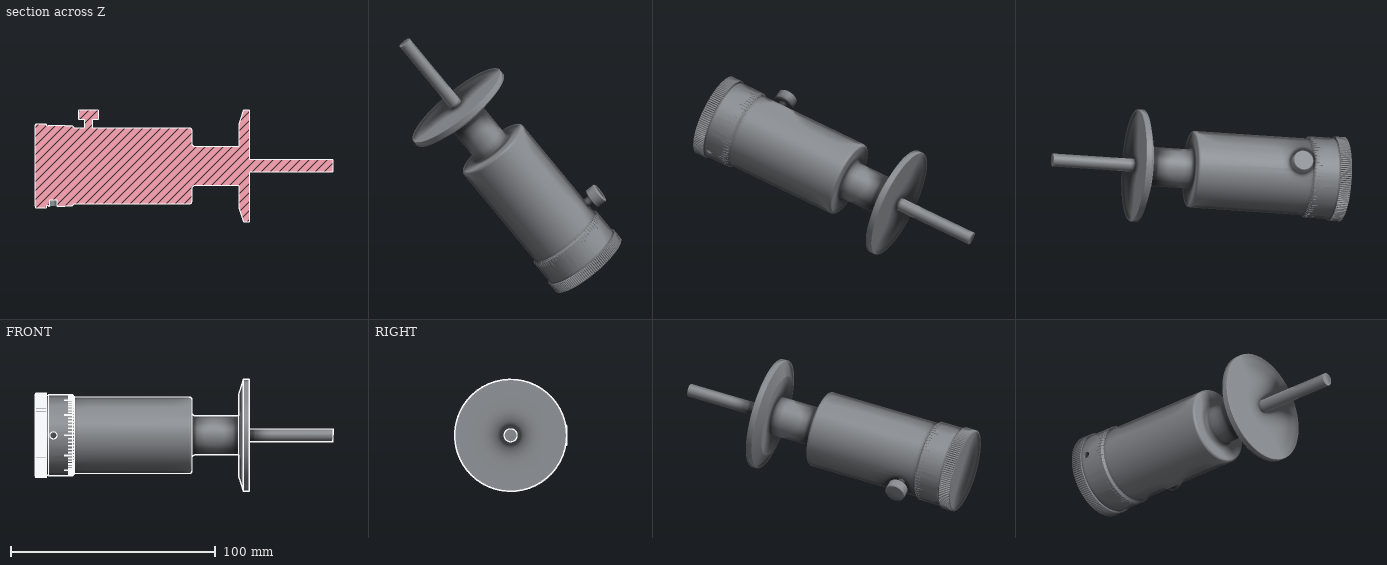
import cadquery as cq
import math

HEAD_END = 5.7
RING_START = 6.5
RING_END = 19.25
BODY_END = 76.7
FLANGE_START = 99.4
RIM_START = 101.7
FLANGE_END = 104.8
ROD_END = 145.8

HEAD_DIAMETER = 41.22
HEAD_CHAMFER_LENGTH = 0.4
HEAD_CHAMFER_DEPTH = 0.8
KNURL_COUNT = 120
KNURL_DEPTH = 0.5
CREST_SHARE = 0.35

RING_DIAMETER = 39.7
RING_CHAMFER = 1.0
GAP_DIAMETER = 39.1
MARK_COUNT = 72
MARKS_PER_LONG_MARK = 6
SHORT_MARK_LENGTH = 2.95
LONG_MARK_LENGTH = 4.75
MARK_WIDTH = 0.3
MARK_DEPTH = 0.25
SCREW_HOLE_X = 9.0
SCREW_HOLE_DIAMETER = 3.45
SCREW_HOLE_DEPTH = 3.0

BODY_DIAMETER = 37.47
BODY_END_FILLET = 1.3
NECK_DIAMETER = 19.18
NECK_FILLET = 1.6
FLANGE_DIAMETER = 54.86
FLANGE_FACE_DIAMETER = 40.2
FLANGE_EDGE_CHAMFER = 0.2
ROD_DIAMETER = 6.35
ROD_TIP_SLANT = 0.3

THUMB_SCREW_X = 26.1
STEM_DIAMETER = 4.17
KNOB_DIAMETER = 9.91
KNOB_TOP = 27.49
KNOB_HEIGHT = 5.0
KNOB_CHAMFER = 0.3


def axial_cylinder(start, end, diameter):
    """Cylinder on the main axis between two X stations."""
    return cq.Workplane("YZ").workplane(offset=start).circle(diameter / 2).extrude(end - start)


def make_head():
    """Head with flat-topped teeth all around and a chamfer around its end face."""
    outer_radius = HEAD_DIAMETER / 2
    root_radius = outer_radius - KNURL_DEPTH
    pitch = 2 * math.pi / KNURL_COUNT
    tooth = ((outer_radius, 0), (outer_radius, CREST_SHARE), (root_radius, (1 + CREST_SHARE) / 2))
    points = []
    for index in range(KNURL_COUNT):
        for radius, share in tooth:
            angle = (index + share) * pitch
            points.append((radius * math.cos(angle), radius * math.sin(angle)))
    toothed = cq.Workplane("YZ").polyline(points).close().extrude(HEAD_END)
    envelope = axial_cylinder(0, HEAD_END, HEAD_DIAMETER)
    end_edge = envelope.faces("<X").edges()
    envelope = end_edge.chamfer(HEAD_CHAMFER_LENGTH, HEAD_CHAMFER_DEPTH)
    return toothed.intersect(envelope)


def make_ring():
    """Ring behind the head, with a slightly smaller gap between the two."""
    gap = axial_cylinder(HEAD_END, RING_START, GAP_DIAMETER)
    ring = axial_cylinder(RING_START, RING_END, RING_DIAMETER).faces(">X").chamfer(RING_CHAMFER)
    return ring.union(gap)


def make_mark(length):
    """Cutter for one groove of even depth that runs over the chamfer of the ring."""
    top = RING_DIAMETER / 2 + MARK_DEPTH
    floor = RING_DIAMETER / 2 - MARK_DEPTH
    profile = (
        cq.Workplane("XY")
        .moveTo(RING_END - length, top)
        .lineTo(RING_END - length, floor)
        .lineTo(RING_END - RING_CHAMFER, floor)
        .lineTo(RING_END, floor - RING_CHAMFER)
        .lineTo(RING_END, top)
        .close()
    )
    return profile.extrude(MARK_WIDTH / 2, both=True)


def make_marks():
    """Graduation grooves around the ring, with a longer one at regular intervals."""
    short_mark = make_mark(SHORT_MARK_LENGTH)
    long_mark = make_mark(LONG_MARK_LENGTH)
    marks = cq.Workplane("XY")
    for index in range(MARK_COUNT):
        mark = long_mark if index % MARKS_PER_LONG_MARK == 0 else short_mark
        marks.add(mark.rotate((0, 0, 0), (1, 0, 0), index * 360 / MARK_COUNT))
    return marks.combine()


def make_screw_hole():
    """Blind radial hole in the -Y side of the ring."""
    bottom = RING_DIAMETER / 2 - SCREW_HOLE_DEPTH
    hole = cq.Workplane("XZ", origin=(SCREW_HOLE_X, -bottom, 0))
    return hole.circle(SCREW_HOLE_DIAMETER / 2).extrude(2 * SCREW_HOLE_DEPTH)


def make_body_and_neck():
    """Main cylinder with a rounded end, blending into the narrower neck."""
    body_radius = BODY_DIAMETER / 2
    neck_radius = NECK_DIAMETER / 2
    profile = (
        cq.Workplane("XY")
        .moveTo(HEAD_END, 0)
        .lineTo(HEAD_END, body_radius)
        .lineTo(BODY_END - BODY_END_FILLET, body_radius)
        .radiusArc((BODY_END, body_radius - BODY_END_FILLET), BODY_END_FILLET)
        .lineTo(BODY_END, neck_radius + NECK_FILLET)
        .radiusArc((BODY_END + NECK_FILLET, neck_radius), -NECK_FILLET)
        .lineTo(FLANGE_START, neck_radius)
        .lineTo(FLANGE_START, 0)
        .close()
    )
    return profile.revolve(360, (0, 0, 0), (1, 0, 0))


def make_flange():
    """Flange with a conical back and small chamfers on both rim edges."""
    radius = FLANGE_DIAMETER / 2
    profile = (
        cq.Workplane("XY")
        .moveTo(FLANGE_START, 0)
        .lineTo(FLANGE_START, FLANGE_FACE_DIAMETER / 2)
        .lineTo(RIM_START, radius - FLANGE_EDGE_CHAMFER)
        .lineTo(RIM_START + FLANGE_EDGE_CHAMFER, radius)
        .lineTo(FLANGE_END - FLANGE_EDGE_CHAMFER, radius)
        .lineTo(FLANGE_END, radius - FLANGE_EDGE_CHAMFER)
        .lineTo(FLANGE_END, 0)
        .close()
    )
    return profile.revolve(360, (0, 0, 0), (1, 0, 0))


def make_thumb_screw():
    """Radial stem rising from the body, with a round knob on top."""
    knob_bottom = KNOB_TOP - KNOB_HEIGHT
    stem_start = BODY_DIAMETER / 4
    stem = cq.Workplane("XZ", origin=(THUMB_SCREW_X, stem_start, 0))
    stem = stem.circle(STEM_DIAMETER / 2).extrude(stem_start - knob_bottom)
    knob = cq.Workplane("XZ", origin=(THUMB_SCREW_X, knob_bottom, 0))
    knob = knob.circle(KNOB_DIAMETER / 2).extrude(-KNOB_HEIGHT)
    return stem.union(knob.faces("<Y or >Y").chamfer(KNOB_CHAMFER))


def make_rod():
    """Rod on the main axis with a slightly slanted tip, longest on the +Z side."""
    radius = ROD_DIAMETER / 2
    side = (
        cq.Workplane("XZ")
        .moveTo(FLANGE_START, -radius)
        .lineTo(ROD_END - ROD_TIP_SLANT, -radius)
        .lineTo(ROD_END, radius)
        .lineTo(FLANGE_START, radius)
        .close()
        .extrude(radius, both=True)
    )
    return axial_cylinder(FLANGE_START, ROD_END, ROD_DIAMETER).intersect(side)


result = make_body_and_neck().union(make_ring()).cut(make_marks()).cut(make_screw_hole())
result = result.union(make_head()).union(make_flange()).union(make_thumb_screw())
result = result.union(make_rod())